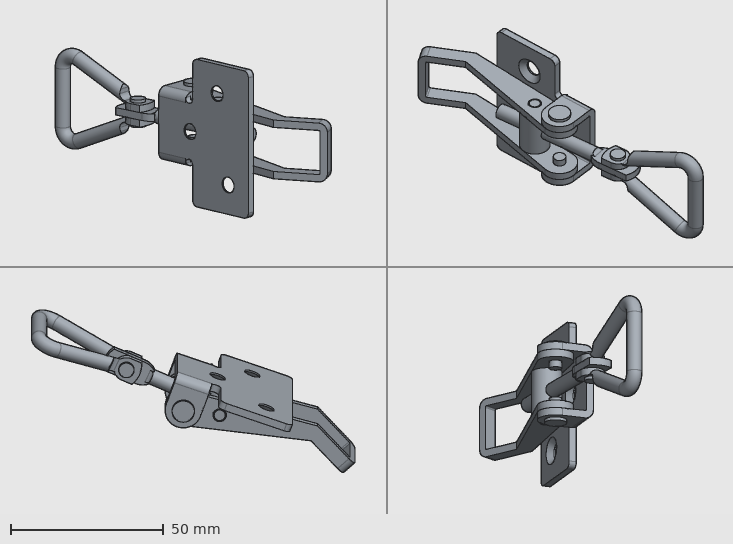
import cadquery as cq
import math

sheet = 2.5
bend_outer = 3.0
bend_inner = bend_outer - sheet
wire_radius = 2.5

base_half_width = 12.5
ear_radius = 6.0
pivot_y = 11.0
plate_left = 9.2
plate_right = 34.0
plate_height = 50.0
plate_corner = 2.1
hole_radius = 2.6
hole_land = 0.6
hole_centres = [(8.0, 0), (20.0, 15.0), (25.0, -15.0)]
relief_radius = (plate_left - ear_radius) / 2
relief_floor = base_half_width - bend_outer

lever_half_width = base_half_width - sheet
arm_inner = lever_half_width - sheet
top_slope = math.radians(12.5)
bottom_slope = math.radians(4.0)
grip_slope = math.radians(28)
elbow_x = 43.4
grip_length = 18.2
grip_depth = 5.0
trunnion_hole_radius = 2.2

rivet_head_radius = 3.7
rivet_head_height = 1.0
rivet_shank_radius = 2.1
rivet_inner_end = 5.2

barrel_x = 12.0
barrel_y = 9.3
barrel_radius = 5.0
trunnion_radius = 1.8

pull_tilt = 4.5
rod_end = 13.9
eye_half = 1.3
eye_half_width = 4.0
eye_tip_radius = 7.3
eye_straight = 4.8
taper_length = 4.1
scoop_radius = wire_radius - eye_half
loop_pin_x = -33.5
loop_pin_half_length = 4.7
lug_thickness = 2.4
lug_outer = eye_half + lug_thickness
lug_radius = eye_half_width
lug_length = 3.8
lug_bulge = 0.9
loop_bar_x = -64.7
loop_bar_half = 10.0
loop_bend = 4.5
leg_slope = math.radians(24)
leg_shoulder_x = -39.1
shoulder_fillet = 2.1
shoulder_round = 1.8


def z_cylinder(x, y, radius, z_low, z_high):
    """Cylinder along Z between two heights."""
    return cq.Workplane("XY", origin=(x, y, z_low)).circle(radius).extrude(z_high - z_low)


def centred_z(sketch, half_height):
    """Extrude a closed XY outline equally up and down."""
    return sketch.extrude(half_height, both=True)


def place_pull(body):
    """Tilt a body of the pull assembly and move it onto the barrel axis."""
    return body.rotate((0, 0, 0), (0, 0, 1), pull_tilt).translate((barrel_x, barrel_y, 0))


def channel_block(half_width, y_floor, edge_radius):
    """Solid block with the base's ear-shaped side outline and rounded lower long edges."""
    outline = (
        cq.Workplane("XY")
        .moveTo(-ear_radius, y_floor)
        .lineTo(ear_radius, y_floor)
        .lineTo(ear_radius, pivot_y)
        .threePointArc((0, pivot_y + ear_radius), (-ear_radius, pivot_y))
        .close()
    )
    return centred_z(outline, half_width).faces("<Y").edges("|X").fillet(edge_radius)


def countersunk_hole():
    """Cutter for a screw hole along Y, widening towards the ear side of the plate."""
    sink_radius = hole_radius + sheet - hole_land
    return (
        cq.Workplane("XY")
        .lineTo(hole_radius, 0)
        .lineTo(hole_radius, hole_land)
        .lineTo(sink_radius, sheet)
        .lineTo(0, sheet)
        .close()
        .revolve(360, (0, 0, 0), (0, 1, 0))
    )


def make_base():
    ears = channel_block(base_half_width, 0, bend_outer)
    ears = ears.cut(channel_block(lever_half_width, sheet, bend_inner))
    neck = cq.Workplane("XY", origin=(ear_radius, 0, 0)).box(
        plate_left - ear_radius, sheet, 2 * (relief_floor + relief_radius),
        centered=(False, False, True))
    reliefs = (
        cq.Workplane("XZ")
        .pushPoints([((ear_radius + plate_left) / 2, side * base_half_width) for side in (-1, 1)])
        .slot2D(2 * (base_half_width - relief_floor), 2 * relief_radius, 90)
        .extrude(-sheet)
    )
    plate = (
        cq.Workplane("XY", origin=(plate_left, 0, 0))
        .box(plate_right - plate_left, sheet, plate_height, centered=(False, False, True))
        .edges("|Y").fillet(plate_corner)
    )
    base = ears.union(neck).union(plate).cut(reliefs)
    for hole_x, hole_z in hole_centres:
        base = base.cut(countersunk_hole().translate((hole_x, 0, hole_z)))
    for side in (-1, 1):
        base = base.cut(z_cylinder(0, pivot_y, rivet_shank_radius,
                                   side * base_half_width, side * lever_half_width))
    return base


def make_lever():
    top_tangent = (ear_radius * math.sin(top_slope), pivot_y + ear_radius * math.cos(top_slope))
    bottom_tangent = (-ear_radius * math.sin(bottom_slope),
                      pivot_y - ear_radius * math.cos(bottom_slope))
    along = (math.cos(grip_slope), math.sin(grip_slope))
    across = (-along[1], along[0])
    elbow = (elbow_x, bottom_tangent[1] - (elbow_x - bottom_tangent[0]) * math.tan(bottom_slope))
    grip_low = (elbow[0] + grip_length * along[0], elbow[1] + grip_length * along[1])
    grip_high = (grip_low[0] + grip_depth * across[0], grip_low[1] + grip_depth * across[1])
    arm_line_y = top_tangent[1] - (grip_high[0] - top_tangent[0]) * math.tan(top_slope)
    setback = (grip_high[1] - arm_line_y) / (math.tan(grip_slope) + math.tan(top_slope))
    upper_elbow = (grip_high[0] - setback, grip_high[1] - setback * math.tan(grip_slope))

    outline = (
        cq.Workplane("XY")
        .moveTo(*bottom_tangent)
        .lineTo(*elbow)
        .lineTo(*grip_low)
        .lineTo(*grip_high)
        .lineTo(*upper_elbow)
        .lineTo(*top_tangent)
        .threePointArc((-ear_radius, pivot_y), bottom_tangent)
        .close()
    )

    def round_grip_end(body, radius):
        """Round the two corners of the grip's end face that run along its depth."""
        end_face = body.faces(cq.selectors.DirectionNthSelector(cq.Vector(*along, 0), -1))
        return end_face.edges(cq.selectors.ParallelDirSelector(cq.Vector(*across, 0))).fillet(radius)

    lever = round_grip_end(centred_z(outline, lever_half_width), bend_outer)
    grip_end = cq.Plane(origin=(*grip_low, 0), xDir=(*across, 0), normal=(*along, 0))
    reach = 2 * plate_right
    gap = (
        cq.Workplane(grip_end)
        .workplane(offset=-sheet)
        .rect(2 * reach, 2 * arm_inner)
        .extrude(-reach)
    )
    lever = lever.cut(round_grip_end(gap, bend_inner))
    rivet_bore = z_cylinder(0, pivot_y, rivet_shank_radius, -lever_half_width, lever_half_width)
    trunnion_bore = z_cylinder(barrel_x, barrel_y, trunnion_hole_radius,
                               -lever_half_width, lever_half_width)
    return lever.cut(rivet_bore).cut(trunnion_bore)


def make_rivet(side):
    """Rivet through one ear and one lever arm; side is +1 for upper and -1 for lower."""
    head = z_cylinder(0, pivot_y, rivet_head_radius,
                      side * base_half_width, side * (base_half_width + rivet_head_height))
    shank = z_cylinder(0, pivot_y, rivet_shank_radius,
                       side * rivet_inner_end, side * base_half_width)
    return head.union(shank)


def make_barrel():
    body = z_cylinder(barrel_x, barrel_y, barrel_radius, -arm_inner, arm_inner)
    trunnions = z_cylinder(barrel_x, barrel_y, trunnion_radius, -lever_half_width, lever_half_width)
    rod_bore = cq.Workplane("YZ").circle(wire_radius).extrude(2 * barrel_radius, both=True)
    return body.union(trunnions).cut(place_pull(rod_bore))


def make_rod():
    tip_dx = math.sqrt(eye_tip_radius**2 - eye_half_width**2)
    taper_start = loop_pin_x + eye_straight
    taper_end = taper_start + taper_length
    drop = eye_half_width - wire_radius
    taper_radius = (taper_length**2 + drop**2) / (2 * drop)
    half_angle = math.asin(taper_length / taper_radius) / 2
    middle = (taper_start + taper_radius * math.sin(half_angle),
              eye_half_width - taper_radius * (1 - math.cos(half_angle)))
    outline = (
        cq.Workplane("XY")
        .moveTo(loop_pin_x - tip_dx, -eye_half_width)
        .lineTo(taper_start, -eye_half_width)
        .threePointArc((middle[0], -middle[1]), (taper_end, -wire_radius))
        .lineTo(taper_end, wire_radius)
        .threePointArc(middle, (taper_start, eye_half_width))
        .lineTo(loop_pin_x - tip_dx, eye_half_width)
        .threePointArc((loop_pin_x - eye_tip_radius, 0), (loop_pin_x - tip_dx, -eye_half_width))
        .close()
    )
    eye = centred_z(outline, eye_half)
    shank_start = taper_end - scoop_radius
    shank = (
        cq.Workplane("YZ", origin=(shank_start, 0, 0))
        .circle(wire_radius)
        .extrude(rod_end - shank_start)
    )
    scoops = (
        cq.Workplane("XZ")
        .pushPoints([(shank_start, side * wire_radius) for side in (-1, 1)])
        .circle(scoop_radius)
        .extrude(2 * wire_radius, both=True)
    )
    pin_bore = z_cylinder(loop_pin_x, 0, wire_radius, -eye_half, eye_half)
    return place_pull(eye.union(shank.cut(scoops)).cut(pin_bore))


def make_loop():
    bend_x = loop_bar_x + loop_bend
    bend_end = (bend_x + loop_bend * math.sin(leg_slope),
                loop_bar_half + loop_bend * math.cos(leg_slope))
    half_turn = (math.pi / 2 + leg_slope) / 2
    turn_middle = (bend_x - loop_bend * math.cos(half_turn),
                   loop_bar_half + loop_bend * math.sin(half_turn))
    leg_end_z = bend_end[1] - (loop_pin_x - bend_end[0]) * math.tan(leg_slope)
    path = (
        cq.Workplane("XZ")
        .moveTo(loop_pin_x, leg_end_z)
        .lineTo(*bend_end)
        .threePointArc(turn_middle, (loop_bar_x, loop_bar_half))
        .lineTo(loop_bar_x, -loop_bar_half)
        .threePointArc((turn_middle[0], -turn_middle[1]), (bend_end[0], -bend_end[1]))
        .lineTo(loop_pin_x, -leg_end_z)
    )
    leg_direction = (-math.cos(leg_slope), 0, math.sin(leg_slope))
    start = cq.Plane(origin=(loop_pin_x, 0, leg_end_z), xDir=(0, 1, 0), normal=leg_direction)
    loop = cq.Workplane(start).circle(wire_radius).sweep(path)

    eye_slot = cq.Workplane("XY", origin=(loop_pin_x, 0, 0)).box(
        2 * eye_tip_radius, 3 * wire_radius, 2 * eye_half)
    loop = loop.cut(eye_slot)
    brow_x = leg_shoulder_x - shoulder_round
    brow_z = (bend_end[1] - (brow_x - bend_end[0]) * math.tan(leg_slope)
              + wire_radius / math.cos(leg_slope))
    diagonal = math.sqrt(0.5)
    for side in (-1, 1):
        above_lug = (
            cq.Workplane("XZ")
            .moveTo(brow_x, side * brow_z)
            .threePointArc(
                (brow_x + shoulder_round * diagonal,
                 side * (brow_z - shoulder_round * (1 - diagonal))),
                (leg_shoulder_x, side * (brow_z - shoulder_round)))
            .lineTo(leg_shoulder_x, side * (lug_outer + shoulder_fillet))
            .threePointArc(
                (leg_shoulder_x + shoulder_fillet * (1 - diagonal),
                 side * (lug_outer + shoulder_fillet * (1 - diagonal))),
                (leg_shoulder_x + shoulder_fillet, side * lug_outer))
            .lineTo(0, side * lug_outer)
            .lineTo(0, side * 2 * brow_z)
            .lineTo(brow_x, side * 2 * brow_z)
            .close()
            .extrude(2 * wire_radius, both=True)
        )
        loop = loop.cut(above_lug)
        end_x = loop_pin_x + lug_length
        lug_outline = (
            cq.Workplane("XY", origin=(0, 0, side * eye_half))
            .moveTo(loop_pin_x, -lug_radius)
            .lineTo(end_x, -lug_radius)
            .threePointArc((end_x + lug_bulge, 0), (end_x, lug_radius))
            .lineTo(loop_pin_x, lug_radius)
            .threePointArc((loop_pin_x - lug_radius, 0), (loop_pin_x, -lug_radius))
            .close()
        )
        loop = loop.union(lug_outline.extrude(side * lug_thickness))
    return place_pull(loop.cut(z_cylinder(loop_pin_x, 0, wire_radius, -lug_outer, lug_outer)))


def make_loop_pin():
    return place_pull(z_cylinder(loop_pin_x, 0, wire_radius,
                                 -loop_pin_half_length, loop_pin_half_length))


base = make_base()
lever = make_lever()
rivets = [make_rivet(side) for side in (-1, 1)]
barrel = make_barrel()
rod = make_rod()
loop = make_loop()
loop_pin = make_loop_pin()

bodies = [base, lever, *rivets, barrel, rod, loop, loop_pin]
result = cq.Compound.makeCompound([body.solids().val() for body in bodies])